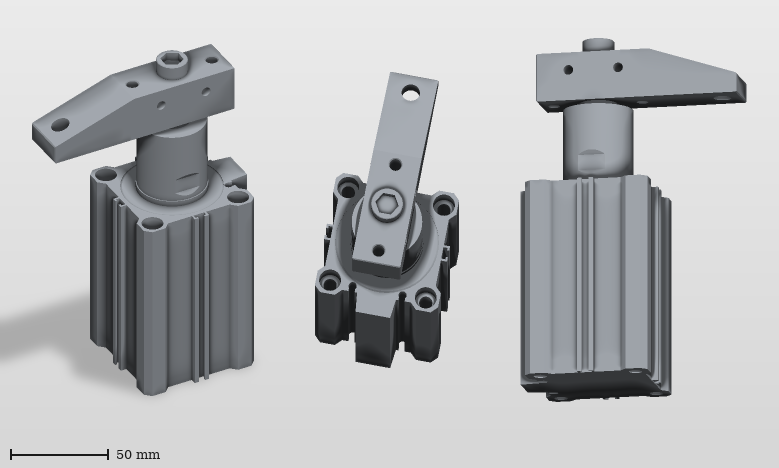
import cadquery as cq


housing_top = 101.6
collar_top = 104.7
sleeve_top = 143.9
arm_bottom = 147.5
arm_height = 25.0
bolt_top = 180.5
arm_top = arm_bottom + arm_height

housing_width = 64.0
housing_half = housing_width / 2
wall_recess = 3.2
wall_half = housing_half - wall_recess
ear_corner_chamfer = 3.2
ear_inner_edge = 21.1

mount_offset = 24.9
mount_hole_radius = 3.5
mount_counterbore_radius = 5.6
mount_counterbore_depth = 10.8

rail_half_width = 4.2
rail_thickness = 1.0
rail_lip_opening = 1.8

block_end = 38.8
block_half_width_base = 10.1
block_half_width_end = 9.0
groove_center = 13.0
groove_width = 3.2
groove_bulb_diameter = 4.2
groove_bulb_center = 25.8

flange_radius = 26.5
flange_chamfer_width = 0.9
flange_chamfer_depth = 0.45
flange_thickness = 14.5
collar_radius = 18.6
sleeve_radius = 18.0
wrench_flat_half = 16.6
wrench_flat_center = 113.4
wrench_flat_height = 8.0
wrench_flat_runout = 2.3
flange_bottom = housing_top - flange_thickness

rod_radius = 10.0

arm_width = 25.0
arm_back = 30.0
arm_tip = -74.9
arm_slope_start = -28.9
arm_tip_height = 10.1
arm_end_chamfer = 0.5
tip_hole_offset = 10.0
tip_hole_radius = 4.7
tapped_hole_offset = 23.1
tapped_hole_radius = 3.0
tapped_hole_chamfer = 0.5
cross_hole_offset = 13.0
cross_hole_radius = 2.5
cross_hole_height = 163.4

head_radius = 8.1
head_chamfer = 0.4
hex_across_corners = 12.1
hex_depth = 4.5
shank_radius = 5.0
shank_depth_in_rod = 14.5


def cylinder(radius, bottom, top):
    return cq.Workplane("XY").workplane(offset=bottom).circle(radius).extrude(top - bottom)


def extruded_outline(points):
    return cq.Workplane("XY").polyline(points).close().extrude(housing_top)


def housing_profile():
    """Square with recessed walls, chamfered ears at the corners."""
    corner = housing_half - ear_corner_chamfer
    ear_foot = ear_inner_edge - wall_recess
    quarter = [
        (wall_half, ear_foot),
        (housing_half, ear_inner_edge),
        (housing_half, corner),
        (corner, housing_half),
        (ear_inner_edge, housing_half),
        (ear_foot, wall_half),
    ]
    points = []
    for _ in range(4):
        points += quarter
        quarter = [(-y, x) for x, y in quarter]
    return extruded_outline(points)


def hooked_rail(side):
    """One rail of the -Y wall, on the -X (side = -1) or +X (side = 1) half."""
    web_inner = rail_half_width - rail_thickness
    lip_inner = -housing_half + rail_thickness
    return extruded_outline([
        (side * rail_half_width, -wall_half),
        (side * rail_half_width, -housing_half),
        (side * rail_lip_opening, -housing_half),
        (side * rail_lip_opening, lip_inner),
        (side * web_inner, lip_inner),
        (side * web_inner, -wall_half),
    ])


def port_block():
    return extruded_outline([
        (-block_half_width_base, wall_half),
        (-block_half_width_end, block_end),
        (block_half_width_end, block_end),
        (block_half_width_base, wall_half),
    ])


def keyhole_groove(x):
    bulb = cylinder(groove_bulb_diameter / 2, 0, housing_top).translate((x, groove_bulb_center, 0))
    depth = wall_half - groove_bulb_center
    mouth = (
        cq.Workplane("XY")
        .center(x, groove_bulb_center + depth / 2)
        .rect(groove_width, depth)
        .extrude(housing_top)
    )
    return bulb.union(mouth)


def make_housing():
    body = housing_profile().union(port_block())
    for angle in (-90, 0, 90):
        for side in (-1, 1):
            rail = hooked_rail(side).rotate((0, 0, 0), (0, 0, 1), angle)
            body = body.union(rail)
    for side in (-1, 1):
        body = body.cut(keyhole_groove(side * groove_center))
    body = (
        body.faces(">Z")
        .workplane(origin=(0, 0, housing_top))
        .rect(2 * mount_offset, 2 * mount_offset, forConstruction=True)
        .vertices()
        .cboreHole(2 * mount_hole_radius, 2 * mount_counterbore_radius, mount_counterbore_depth)
    )
    return body.cut(cylinder(flange_radius, flange_bottom, housing_top))


def wrench_flat_cut(side):
    """Cutter for one wrench flat with sloping ends, on the -X or +X side of the sleeve."""
    inner = wrench_flat_height / 2
    outer = inner + wrench_flat_runout
    return (
        cq.Workplane("XZ")
        .polyline([
            (side * wrench_flat_half, wrench_flat_center - inner),
            (side * sleeve_radius, wrench_flat_center - outer),
            (side * sleeve_radius, wrench_flat_center + outer),
            (side * wrench_flat_half, wrench_flat_center + inner),
        ])
        .close()
        .extrude(sleeve_radius, both=True)
    )


def make_rod_cover():
    flange = (
        cylinder(flange_radius, flange_bottom, housing_top)
        .faces(">Z")
        .chamfer(flange_chamfer_depth, flange_chamfer_width)
    )
    collar = cylinder(collar_radius, flange_bottom, collar_top)
    sleeve = cylinder(sleeve_radius, flange_bottom, sleeve_top)
    for side in (-1, 1):
        sleeve = sleeve.cut(wrench_flat_cut(side))
    rod_bore = cylinder(rod_radius, flange_bottom, sleeve_top)
    return flange.union(collar).union(sleeve).cut(rod_bore)


def make_rod():
    rod = cylinder(rod_radius, flange_bottom, arm_bottom)
    return rod.cut(cylinder(shank_radius, arm_bottom - shank_depth_in_rod, arm_bottom))


def tapped_hole(y):
    hole = cylinder(tapped_hole_radius, arm_bottom, arm_top)
    countersink = cq.Workplane(cq.Solid.makeCone(
        tapped_hole_radius,
        tapped_hole_radius + tapped_hole_chamfer,
        tapped_hole_chamfer,
        pnt=cq.Vector(0, 0, arm_top - tapped_hole_chamfer),
    ))
    return hole.union(countersink).translate((0, y, 0))


def make_arm():
    arm = (
        cq.Workplane("YZ")
        .polyline([
            (arm_back, arm_bottom),
            (arm_back, arm_top),
            (arm_slope_start, arm_top),
            (arm_tip, arm_bottom + arm_tip_height),
            (arm_tip, arm_bottom),
        ])
        .close()
        .extrude(arm_width / 2, both=True)
        .faces("<Y or >Y")
        .chamfer(arm_end_chamfer)
    )
    tip_hole = cylinder(tip_hole_radius, arm_bottom, arm_top)
    arm = arm.cut(tip_hole.translate((0, arm_tip + tip_hole_offset, 0)))
    for side in (-1, 1):
        arm = arm.cut(tapped_hole(side * tapped_hole_offset))
        cross_hole = (
            cq.Workplane("YZ")
            .center(side * cross_hole_offset, cross_hole_height)
            .circle(cross_hole_radius)
            .extrude(arm_width / 2, both=True)
        )
        arm = arm.cut(cross_hole)
    return arm.cut(cylinder(shank_radius, arm_bottom, arm_top))


def make_bolt():
    head = cylinder(head_radius, arm_top, bolt_top).faces("<Z or >Z").chamfer(head_chamfer)
    shank = cylinder(shank_radius, arm_bottom - shank_depth_in_rod, arm_top)
    socket = (
        cq.Workplane("XY")
        .workplane(offset=bolt_top - hex_depth)
        .polygon(6, hex_across_corners)
        .extrude(hex_depth)
    )
    return head.union(shank).cut(socket)


housing = make_housing()
rod_cover = make_rod_cover()
rod = make_rod()
arm = make_arm()
bolt = make_bolt()

result = cq.Compound.makeCompound([
    housing.val(),
    rod_cover.val(),
    rod.val(),
    arm.val(),
    bolt.val(),
])